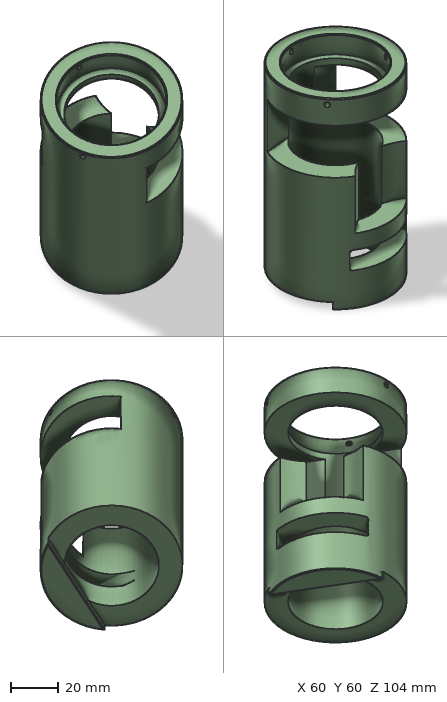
import cadquery as cq

total_height = 104.0
outer_diameter = 60.0
outer_radius = outer_diameter / 2
bore_radius = 20.0
tab_height = 3.8
body_height = total_height - tab_height

socket_radius = 23.1
socket_depth = 10.0
rim_chamfer = 0.5

screw_count = 3
screw_diameter = 2.5
screw_drop = 3.0

opening_bottom = 65.2
opening_top = 90.8
opening_back = -17.8

notch_floor = 37.0
notch_radius = 26.9
notch_axis_y = 43.9

window_bottom = 18.9
window_top = 28.9
window_width = 2 * bore_radius
window_corner_radius = 1.2

tab_inner_y = 17.0
tab_chamfer = 0.4


def make_body():
    body = cq.Workplane("XY").workplane(offset=tab_height).circle(outer_radius).extrude(body_height)
    bore = cq.Workplane("XY").workplane(offset=tab_height).circle(bore_radius).extrude(body_height)
    socket = (
        cq.Workplane("XY")
        .workplane(offset=total_height - socket_depth)
        .circle(socket_radius)
        .extrude(socket_depth)
    )
    return body.cut(bore).cut(socket).faces(">Z").edges().chamfer(rim_chamfer)


def make_tab():
    """Circular segment with a flat inner face; it closes a sliver of the bore."""
    disc = cq.Workplane("XY").circle(outer_radius).extrude(tab_height)
    keep = (
        cq.Workplane("XY")
        .box(outer_diameter, outer_radius, tab_height, centered=(True, False, False))
        .translate((0, tab_inner_y, 0))
    )
    return disc.intersect(keep).faces("<Z").edges().chamfer(tab_chamfer)


def make_opening():
    return (
        cq.Workplane("XY")
        .box(outer_diameter, outer_diameter, opening_top - opening_bottom, centered=(True, False, False))
        .translate((0, opening_back, opening_bottom))
    )


def make_notch():
    return (
        cq.Workplane("XY")
        .workplane(offset=notch_floor)
        .center(0, notch_axis_y)
        .circle(notch_radius)
        .extrude(opening_bottom - notch_floor)
    )


def make_window():
    return (
        cq.Workplane("XY")
        .box(window_width, outer_radius, window_top - window_bottom, centered=(True, False, False))
        .edges("|Y")
        .fillet(window_corner_radius)
        .translate((0, 0, window_bottom))
    )


def make_screw_hole(angle):
    """Hole from the axis out through the -Y wall, turned about the tube axis."""
    return (
        cq.Workplane("XZ")
        .center(0, total_height - screw_drop)
        .circle(screw_diameter / 2)
        .extrude(outer_diameter)
        .rotate((0, 0, 0), (0, 0, 1), angle)
    )


result = make_body().union(make_tab())
result = result.cut(make_opening()).cut(make_notch()).cut(make_window())
for index in range(screw_count):
    result = result.cut(make_screw_hole(index * 360 / screw_count))